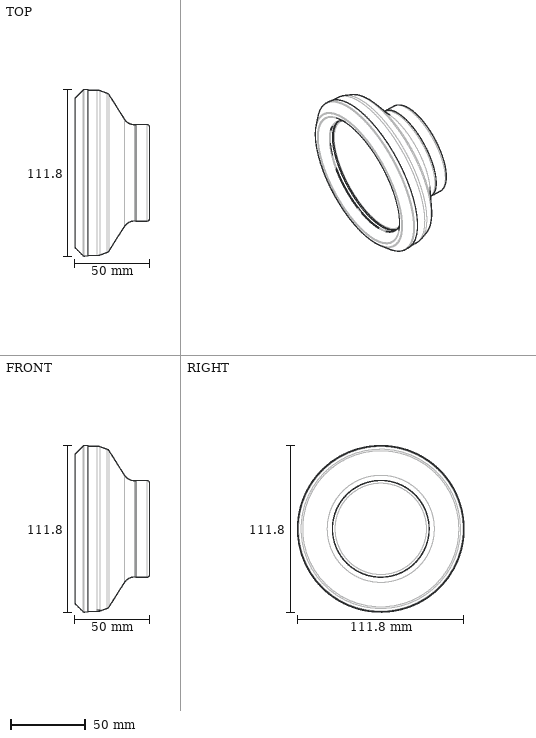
import cadquery as cq
import math

overall_length = 50.0

bezel_radius = 55.9
bore_radius = 41.2
ring_depth = 8.8
bevel = 5.8
bevel_round = 0.9
rear_round = 0.3

rim_radius = 111.0 / 2
rim_end = 15.9
shoulder_angle = 20.0
shoulder_end = 22.5
cone_end = 35.5
neck_radius = 64.6 / 2
collar_radius = 65.0 / 2
collar_start = 40.8
rim_round = 5.8
shoulder_round = 2.7
neck_round = 7.7
collar_round = 1.9

cove_radius = 0.9


def turned(points):
    """Revolve a closed (x, radius) outline about the X axis."""
    return cq.Workplane("XY").polyline(points).close().revolve(360, (0, 0, 0), (1, 0, 0))


def circle_edges(body, x, radius):
    """Pick the circular edge of a turned body at one place along X."""
    tolerance = 0.01
    return body.edges("%CIRCLE").filter(
        lambda edge: abs(edge.Center().x - x) < tolerance and abs(edge.radius() - radius) < tolerance
    )


def make_ring():
    lip_inner_radius = bore_radius + bevel
    lip_outer_radius = bezel_radius - bevel
    ring = turned([
        (0, lip_inner_radius),
        (0, lip_outer_radius),
        (bevel, bezel_radius),
        (ring_depth, bezel_radius),
        (ring_depth, bore_radius),
        (bevel, bore_radius),
    ])
    bevel_edges = [
        (0, lip_inner_radius),
        (0, lip_outer_radius),
        (bevel, bezel_radius),
        (bevel, bore_radius),
    ]
    for x, radius in bevel_edges:
        ring = circle_edges(ring, x, radius).fillet(bevel_round)
    return circle_edges(ring, ring_depth, bezel_radius).fillet(rear_round)


def make_housing():
    shoulder_drop = (shoulder_end - rim_end) * math.tan(math.radians(shoulder_angle))
    shoulder_radius = rim_radius - shoulder_drop
    housing = turned([
        (ring_depth, 0),
        (ring_depth, rim_radius),
        (rim_end, rim_radius),
        (shoulder_end, shoulder_radius),
        (cone_end, neck_radius),
        (collar_start, neck_radius),
        (collar_start, collar_radius),
        (overall_length, collar_radius),
        (overall_length, 0),
    ])
    rounds = [
        (rim_end, rim_radius, rim_round),
        (shoulder_end, shoulder_radius, shoulder_round),
        (cone_end, neck_radius, neck_round),
        (overall_length, collar_radius, collar_round),
    ]
    for x, radius, round_radius in rounds:
        housing = circle_edges(housing, x, radius).fillet(round_radius)
    return housing.union(make_cove())


def make_cove():
    """Ring-shaped bead with a concave face that blends the bore into the housing face."""
    cove_top = ring_depth - cove_radius
    cove_inner_radius = bore_radius - cove_radius
    middle = cove_radius * (1 - math.sqrt(0.5))
    return (
        cq.Workplane("XY")
        .moveTo(ring_depth, bore_radius)
        .lineTo(cove_top, bore_radius)
        .threePointArc((ring_depth - middle, bore_radius - middle), (ring_depth, cove_inner_radius))
        .close()
        .revolve(360, (0, 0, 0), (1, 0, 0))
    )


bezel_ring = make_ring()
housing = make_housing()

result = cq.Compound.makeCompound([bezel_ring.val(), housing.val()])